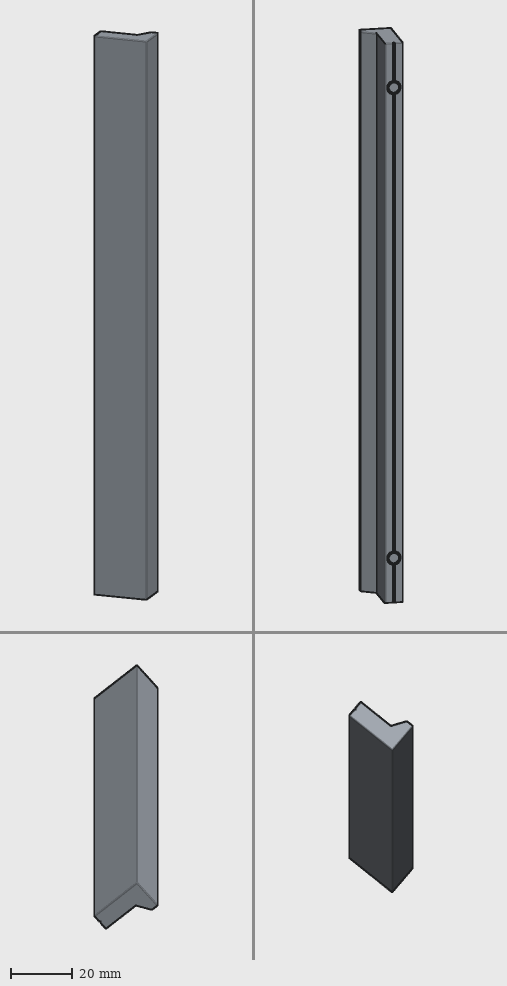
import cadquery as cq

length = 190.0
width = 18.5
depth = 10.6

base_depth = 6.0
lip_top_width = 2.7
lip_foot_width = 5.7
edge_radius = 0.28

groove_width = 0.8
ring_diameter = 4.0
ring_groove_width = 0.5
ring_end_distance = 15.2

groove_y = base_depth / 2
ring_heights = (ring_end_distance, length - ring_end_distance)
tolerance = 1.9e-06


def make_bar():
    """Extrude the section along Z."""
    section = [
        (0, 0),
        (width, 0),
        (width, depth),
        (width - lip_top_width, depth),
        (width - lip_foot_width, base_depth),
        (0, base_depth),
    ]
    return cq.Workplane("XY").polyline(section).close().extrude(length)


def is_rounded(edge):
    """Tell the rounded edges from those of the two flat +Y faces, which stay sharp."""
    center = edge.Center()
    is_lengthwise = abs(center.z - length / 2) < tolerance
    if is_lengthwise:
        return center.x < tolerance or center.y < tolerance
    on_back_face = any(abs(center.y - y) < tolerance for y in (base_depth, depth))
    return not on_back_face


def round_edges(bar):
    """Round the long outer edges and the end edges."""
    edges = [edge for edge in bar.edges().vals() if is_rounded(edge)]
    return bar.newObject(edges).fillet(edge_radius)


def make_straight_groove():
    """V groove with 45-degree walls along the whole -X face, left out inside the rings."""
    half_width = groove_width / 2
    groove = (
        cq.Workplane("XY")
        .polyline([(0, groove_y - half_width), (half_width, groove_y), (0, groove_y + half_width)])
        .close()
        .extrude(length)
    )
    for height in ring_heights:
        island = (
            cq.Workplane("YZ")
            .center(groove_y, height)
            .circle(ring_diameter / 2)
            .extrude(groove_width)
        )
        groove = groove.cut(island)
    return groove


def make_ring_groove(height):
    """Circular V groove with 45-degree walls around an axis along X."""
    half_width = ring_groove_width / 2
    ring_y = groove_y + ring_diameter / 2
    return (
        cq.Workplane("XY", origin=(0, 0, height))
        .polyline([(0, ring_y - half_width), (half_width, ring_y), (0, ring_y + half_width)])
        .close()
        .revolve(360, (0, groove_y, 0), (1, groove_y, 0))
    )


result = round_edges(make_bar()).cut(make_straight_groove())
for ring_height in ring_heights:
    result = result.cut(make_ring_groove(ring_height))